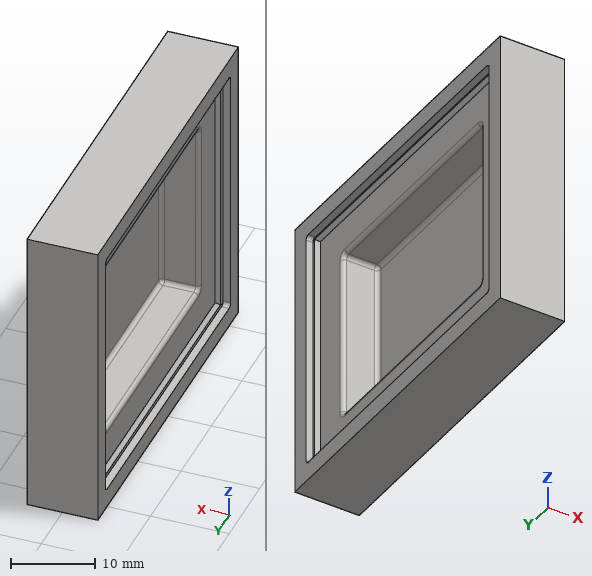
import cadquery as cq

THICKNESS = 9.0
LENGTH = 46.1
HEIGHT = 38.35

RIM = 2.55
RECESS_DEPTH = 2.0
RECESS_CORNER_RADIUS = 0.5
RECESS_LENGTH = LENGTH - 2 * RIM
RECESS_HEIGHT = HEIGHT - 2 * RIM

GROOVE_WIDTH = RECESS_DEPTH / 2
GROOVE_DEPTH = GROOVE_WIDTH / 2
GROOVE_APEX = RECESS_DEPTH - GROOVE_DEPTH
GROOVE_LIP = RECESS_DEPTH - GROOVE_WIDTH

POCKET_MARGIN = 7.5
POCKET_LENGTH = LENGTH - 2 * POCKET_MARGIN
POCKET_HEIGHT = HEIGHT - 2 * POCKET_MARGIN
POCKET_FLOOR = 7.0
POCKET_EDGE_RADIUS = 0.55


def prism(length, height, start, end):
    """Rectangle in YZ, centred on the X axis and running from X = start to X = end."""
    return cq.Workplane("YZ", origin=(start, 0, 0)).rect(length, height).extrude(end - start)


def groove_side(wall_x):
    """Frustum from the recess outline at wall_x out to the apex of the groove."""
    return (
        cq.Workplane("YZ", origin=(wall_x, 0, 0))
        .rect(RECESS_LENGTH, RECESS_HEIGHT)
        .workplane(offset=GROOVE_APEX - wall_x)
        .rect(RECESS_LENGTH + 2 * GROOVE_DEPTH, RECESS_HEIGHT + 2 * GROOVE_DEPTH)
        .loft(ruled=True)
    )


def recess():
    """Recess with rounded wall corners and mitred groove corners."""
    wall = prism(RECESS_LENGTH, RECESS_HEIGHT, 0, RECESS_DEPTH)
    wall = wall.edges("|X").fillet(RECESS_CORNER_RADIUS)
    return wall.union(groove_side(GROOVE_LIP)).union(groove_side(RECESS_DEPTH))


def pocket_edges():
    """Selector for the twelve edges of the sharp-cornered pocket."""
    margin = 0.05
    half_length = POCKET_LENGTH / 2 + margin
    half_height = POCKET_HEIGHT / 2 + margin
    return cq.selectors.BoxSelector(
        (RECESS_DEPTH - margin, -half_length, -half_height),
        (POCKET_FLOOR + margin, half_length, half_height),
        boundingbox=True,
    )


block = prism(LENGTH, HEIGHT, 0, THICKNESS)
pocket = prism(POCKET_LENGTH, POCKET_HEIGHT, RECESS_DEPTH, POCKET_FLOOR)
result = block.cut(recess()).cut(pocket)

result = result.edges(pocket_edges()).fillet(POCKET_EDGE_RADIUS)